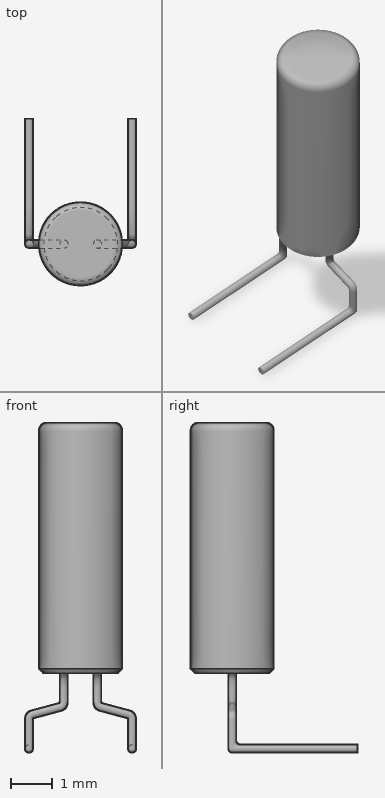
import cadquery as cq
import math

can_diameter = 2.0
can_height = 6.005
can_top_fillet = 0.2
can_bottom_chamfer = 0.12

wire_diameter = 0.2
wire_radius = wire_diameter / 2
overall_width = 2.66
overall_height = 7.9
lead_exit_x = 0.4
lead_foot_x = overall_width / 2 - wire_radius
drop_length = 0.69
bend_radius = 0.12
spread_angle = 75.0
overall_depth = 4.0
foot_end_y = overall_depth - can_diameter / 2
foot_axis_z = can_height - overall_height + wire_radius
foot_inner_fillet = 0.095

turn = math.radians(spread_angle)
bend_run = bend_radius * (1 - math.cos(turn))
bend_drop = bend_radius * math.sin(turn)
slope_run = lead_foot_x - lead_exit_x - 2 * bend_run
slope_drop = slope_run / math.tan(turn)


def make_can():
    can = cq.Workplane("XY").circle(can_diameter / 2).extrude(can_height)
    can = can.faces(">Z").edges().fillet(can_top_fillet)
    return can.faces("<Z").edges().chamfer(can_bottom_chamfer)


def make_spread_wire():
    """Wire from the can down to the foot corner, bent outward and then back to vertical."""
    half_run = bend_radius * (1 - math.cos(turn / 2))
    half_drop = bend_radius * math.sin(turn / 2)
    slope_start = (lead_exit_x + bend_run, -drop_length - bend_drop)
    slope_end = (slope_start[0] + slope_run, slope_start[1] - slope_drop)
    upright_top = (lead_foot_x, slope_end[1] - bend_drop)
    axis = (
        cq.Workplane("XZ")
        .moveTo(lead_exit_x, 0)
        .lineTo(lead_exit_x, -drop_length)
        .threePointArc((lead_exit_x + half_run, -drop_length - half_drop), slope_start)
        .lineTo(*slope_end)
        .threePointArc((lead_foot_x - half_run, upright_top[1] + half_drop), upright_top)
        .lineTo(lead_foot_x, foot_axis_z)
    )
    return cq.Workplane("XY").center(lead_exit_x, 0).circle(wire_radius).sweep(axis)


def make_lead():
    """Bent wire and horizontal foot, with a ball outside their corner and a fillet inside it."""
    foot = (
        cq.Workplane("XZ", origin=(lead_foot_x, 0, foot_axis_z))
        .circle(wire_radius)
        .extrude(-foot_end_y)
    )
    ball = cq.Workplane("XY", origin=(lead_foot_x, 0, foot_axis_z)).sphere(wire_radius)
    lead = make_spread_wire().union(foot)
    inner_corner = (lead_foot_x, wire_radius, foot_axis_z + wire_radius)
    lead = lead.edges(cq.selectors.NearestToPointSelector(inner_corner)).fillet(foot_inner_fillet)
    return lead.union(ball)


can = make_can()
right_lead = make_lead()
leads = [right_lead, right_lead.mirror("YZ")]
result = cq.Compound.makeCompound([can.val(), *[lead.val() for lead in leads]])